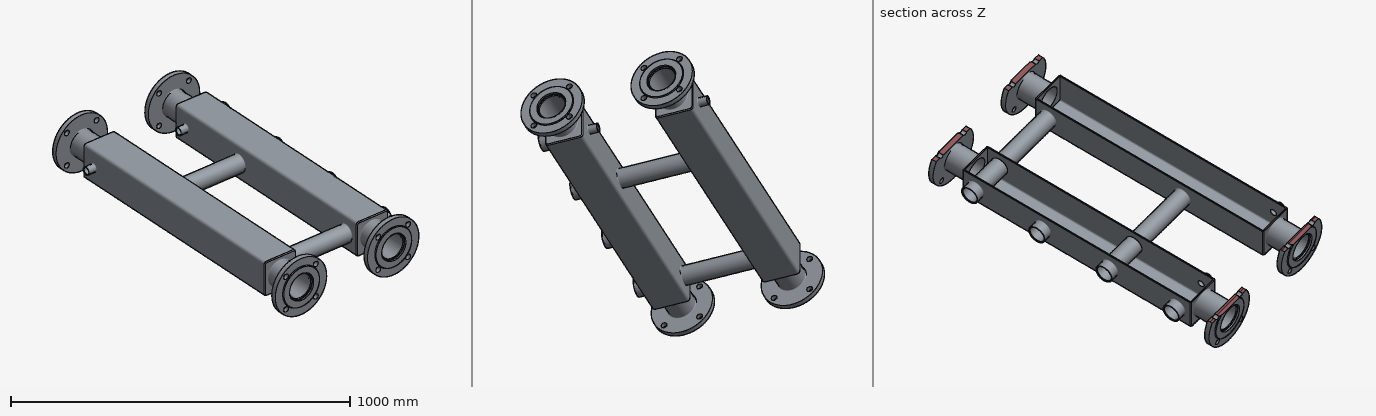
import cadquery as cq

flange_diameter = 195.0
flange_thickness = 17.0
raised_face_diameter = 135.0
raised_face_foot_diameter = 140.0
raised_face_height = 3.0
flange_bore = 91.0
bolt_hole_diameter = 18.0
bolt_circle_diameter = 160.0
bolt_count = 4
first_bolt_angle = 45

overall_length = 1050.0
overall_depth = 545.0
header_spacing = overall_depth - flange_diameter
header_length = 849.0
header_size = 120.0
header_corner_radius = 10.0
header_wall = 5.0
header_end_chamfer = 3.0

main_pipe = (89.0, 87.0, 82.0)
branch_pipe = (60.0, 57.0, 52.0)
drain_pipe = (27.0, 25.0, 22.0)
main_pipe_setback = 6.0
weld_radius = 2.0
weld_root = 1.0

branch_pitch = 250.0
branch_count = 4
branch_projection = 30.0
drain_projection = 29.0

TO_REAR = (0, 1, 0)
TO_FRONT = (0, -1, 0)

rear_y = header_spacing / 2
front_y = -rear_y
header_ys = (front_y, rear_y)
half_header = header_size / 2
flange_depth = raised_face_height + flange_thickness
first_branch_x = -(branch_count - 1) / 2 * branch_pitch
branch_xs = [first_branch_x + i * branch_pitch for i in range(branch_count)]
crossing_xs = branch_xs[1::2]
drain_x = first_branch_x


def rod(direction, start, length, diameter):
    """Round bar from the point start along direction."""
    bar = cq.Solid.makeCylinder(diameter / 2, length, cq.Vector(*start), cq.Vector(*direction))
    return cq.Workplane(bar)


def pipe_bore(direction, start, length, mouth, bore):
    """Cutter for a bore along direction, widened by a chamfer to mouth at its far end."""
    chamfer = (mouth - bore) / 2
    axis = cq.Vector(*direction)
    chamfer_start = cq.Vector(*start) + axis * (length - chamfer)
    cone = cq.Solid.makeCone(bore / 2, mouth / 2, chamfer, chamfer_start, axis)
    return rod(direction, start, length, bore).union(cq.Workplane(cone))


def weld(direction, start, diameter):
    """Concave weld collar around a pipe that leaves a flat face at start along direction."""
    pipe_radius = diameter / 2
    profile = (
        cq.Workplane("XZ")
        .moveTo(pipe_radius - weld_root, 0)
        .lineTo(pipe_radius + weld_radius, 0)
        .radiusArc((pipe_radius, weld_radius), weld_radius)
        .lineTo(pipe_radius - weld_root, weld_radius)
        .close()
    )
    collar = profile.revolve(360, (0, 0, 0), (0, 1, 0))
    plane = cq.Plane(origin=start, normal=direction)
    return cq.Workplane(collar.val().moved(cq.Location(plane)))


def header_body(y):
    """Solid square bar with rounded long edges and chamfered ends."""
    bar = cq.Workplane("XY").box(header_length, header_size, header_size)
    bar = bar.edges("|X").fillet(header_corner_radius)
    bar = bar.faces("<X or >X").chamfer(header_end_chamfer)
    return bar.translate((0, y, 0))


def header_cavity(y):
    """Inside of a header, one wall thickness in from its outside."""
    inner_size = header_size - 2 * header_wall
    cavity = cq.Workplane("XY").box(header_length - 2 * header_wall, inner_size, inner_size)
    return cavity.edges("|X").fillet(header_corner_radius - header_wall).translate((0, y, 0))


def flange():
    """Flange disc with raised face and bolt holes; the face is at x = 0, the disc toward +X."""
    along = (1, 0, 0)
    body = rod(along, (raised_face_height, 0, 0), flange_thickness, flange_diameter)
    face = cq.Solid.makeCone(
        raised_face_diameter / 2, raised_face_foot_diameter / 2, raised_face_height, dir=cq.Vector(*along)
    )
    body = body.union(cq.Workplane(face))
    bolt_holes = (
        cq.Workplane("YZ")
        .polarArray(bolt_circle_diameter / 2, first_bolt_angle, 360, bolt_count)
        .circle(bolt_hole_diameter / 2)
        .extrude(flange_depth)
    )
    return body.cut(bolt_holes)


def end_connection():
    """Flange and main pipe of the -X end on the X axis, and the cutter that bores them."""
    outer, mouth, bore = main_pipe
    toward_header = (1, 0, 0)
    toward_flange = (-1, 0, 0)
    face_x = -overall_length / 2
    back_x = face_x + flange_depth
    wall_x = -header_length / 2
    pipe_length = wall_x - face_x - main_pipe_setback
    part = flange().translate((face_x, 0, 0))
    part = part.cut(rod(toward_header, (face_x, 0, 0), main_pipe_setback, flange_bore))
    part = part.union(rod(toward_flange, (wall_x, 0, 0), pipe_length, outer))
    part = part.union(weld(toward_header, (back_x, 0, 0), outer))
    part = part.union(weld(toward_flange, (wall_x, 0, 0), outer))
    bore_start = (wall_x + header_wall, 0, 0)
    return part, pipe_bore(toward_flange, bore_start, pipe_length + header_wall, mouth, bore)


def spout(direction, start, projection, pipe):
    """Short open pipe welded to a header wall at start, and the cutter that bores pipe and wall."""
    outer, mouth, bore = pipe
    part = rod(direction, start, projection, outer)
    part = part.union(weld(direction, start, outer))
    bore_start = (cq.Vector(*start) - cq.Vector(*direction) * header_wall).toTuple()
    return part, pipe_bore(direction, bore_start, header_wall + projection, mouth, bore)


def crossing_pipe(x):
    """Pipe from the front header's back wall through the inside of the rear header, and its cutter."""
    outer, _, bore = branch_pipe
    front_wall_y = front_y + half_header
    rear_wall_y = rear_y - half_header
    end_y = rear_y + half_header - header_wall
    part = rod(TO_REAR, (x, front_wall_y, 0), end_y - front_wall_y, outer)
    part = part.union(weld(TO_REAR, (x, front_wall_y, 0), outer))
    part = part.union(weld(TO_FRONT, (x, rear_wall_y, 0), outer))
    bore_start_y = front_wall_y - header_wall
    return part, rod(TO_REAR, (x, bore_start_y, 0), end_y - bore_start_y, bore)


result = header_body(front_y).union(header_body(rear_y))
for y in header_ys:
    result = result.cut(header_cavity(y))

end_body, end_bore = end_connection()
connections = []
for y in header_ys:
    left_end = (end_body.translate((0, y, 0)), end_bore.translate((0, y, 0)))
    right_end = tuple(shape.mirror("YZ") for shape in left_end)
    connections += [left_end, right_end]

for x in branch_xs:
    connections.append(spout(TO_REAR, (x, rear_y + half_header, 0), branch_projection, branch_pipe))
for x in crossing_xs:
    connections.append(crossing_pipe(x))
for y in header_ys:
    connections.append(spout(TO_FRONT, (drain_x, y - half_header, 0), drain_projection, drain_pipe))

for body, _ in connections:
    result = result.union(body)
for _, bore in connections:
    result = result.cut(bore)